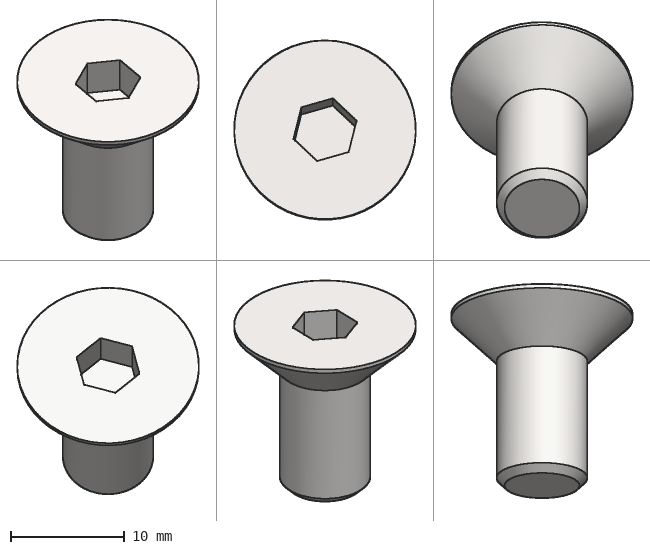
import cadquery as cq
import math

total_length = 16.0
head_diameter = 16.0
shank_diameter = 8.0

rim_height = 0.38
cone_height = (head_diameter - shank_diameter) / 2
head_height = rim_height + cone_height

tip_chamfer = 0.7
socket_across_flats = 5.0
socket_across_corners = socket_across_flats / math.cos(math.radians(30))
socket_depth = 3.52


def make_body():
    """Revolve the half profile of the screw around Z, with the tip at Z = 0."""
    head_radius = head_diameter / 2
    shank_radius = shank_diameter / 2
    profile = (
        cq.Workplane("XZ")
        .moveTo(0, 0)
        .lineTo(shank_radius - tip_chamfer, 0)
        .lineTo(shank_radius, tip_chamfer)
        .lineTo(shank_radius, total_length - head_height)
        .lineTo(head_radius, total_length - rim_height)
        .lineTo(head_radius, total_length)
        .lineTo(0, total_length)
        .close()
    )
    return profile.revolve(360, (0, 0, 0), (0, 1, 0))


def make_socket():
    """Hexagonal socket with corners on the X axis, sunk from the head face."""
    return (
        cq.Workplane("XY")
        .workplane(offset=total_length - socket_depth)
        .polygon(6, socket_across_corners)
        .extrude(socket_depth)
    )


result = make_body().cut(make_socket())